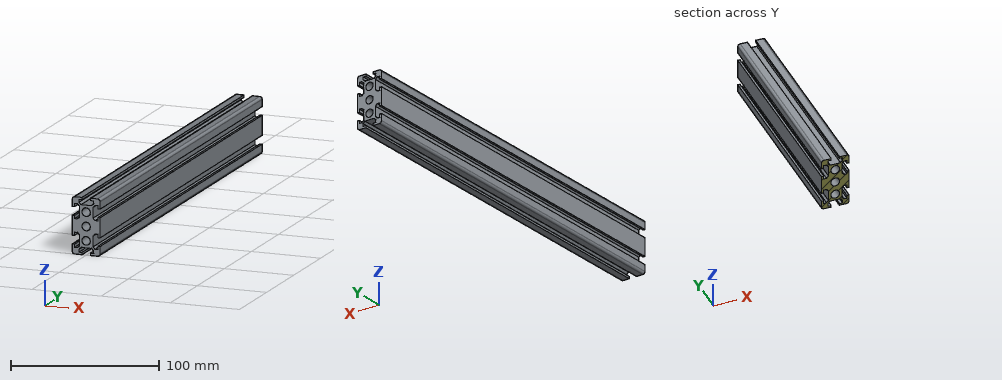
import cadquery as cq

length = 300.0
width = 20.0
height = 40.0

slot_opening = 6.0
slot_cavity_width = 10.5
slot_depth = 5.0
lip_thickness = 1.65
floor_chamfer = 1.5

bore_diameter = 6.0
corner_radius = 1.8

module_offset = height / 4


def slot_cutter(face_x, face_z, turn):
    """T-slot running along Y, entering from a face; turn 0 opens upward."""
    half_opening = slot_opening / 2
    half_cavity = slot_cavity_width / 2
    half_floor = half_cavity - floor_chamfer
    outline = [
        (-half_opening, 0),
        (-half_opening, -lip_thickness),
        (-half_cavity, -lip_thickness),
        (-half_cavity, floor_chamfer - slot_depth),
        (-half_floor, -slot_depth),
        (half_floor, -slot_depth),
        (half_cavity, floor_chamfer - slot_depth),
        (half_cavity, -lip_thickness),
        (half_opening, -lip_thickness),
        (half_opening, 0),
    ]
    return (
        cq.Workplane("XZ")
        .polyline(outline)
        .close()
        .extrude(length / 2, both=True)
        .rotate((0, 0, 0), (0, 1, 0), turn)
        .translate((face_x, 0, face_z))
    )


result = cq.Workplane("XY").box(width, length, height).edges("|Y").fillet(corner_radius)

result = result.cut(slot_cutter(0, height / 2, 0))
result = result.cut(slot_cutter(0, -height / 2, 180))

for slot_z in (-module_offset, module_offset):
    result = result.cut(slot_cutter(width / 2, slot_z, 90))
    result = result.cut(slot_cutter(-width / 2, slot_z, -90))

bores = (
    cq.Workplane("XZ")
    .pushPoints([(0, -module_offset), (0, 0), (0, module_offset)])
    .circle(bore_diameter / 2)
    .extrude(length / 2, both=True)
)
result = result.cut(bores)